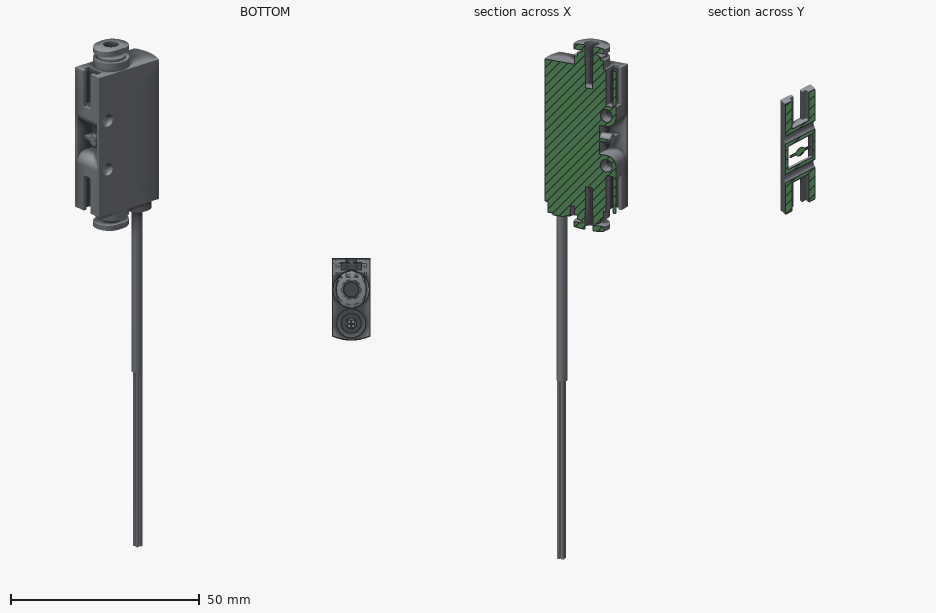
import cadquery as cq

BODY_WIDTH = 10.0
BODY_DEPTH = 21.6
BODY_HEIGHT = 40.0
OVERALL_HEIGHT = 146.04
BACK_CROWN = 1.1
MID_HEIGHT = BODY_HEIGHT / 2

MOUNT_HOLE_DIAMETER = 3.4
MOUNT_HOLE_SPACING = 14.0
MOUNT_HOLE_DEPTH = 3.0

WINDOW_WIDTH = 8.2
WINDOW_DEPTH = 5.0
BOSS_RADIUS = MOUNT_HOLE_DEPTH

KNOB_DIAMETER = 2.9
KNOB_HEIGHT = 3.0
KNOB_BAR_LENGTH = 6.9
KNOB_BAR_THICKNESS = 0.9

SLOT_LENGTH = 10.2
SLOT_NECK_WIDTH = 2.9
SLOT_LIP = 1.0
SLOT_WIDTH = 5.5
SLOT_DEPTH = 3.0
LOWER_SLOT_CORNER_RADIUS = 0.8

FITTING_Y = 8.2
FITTING_DIAMETER = 9.6
FITTING_HEIGHT = 2.4
SHOULDER_DIAMETER = 8.0
SHOULDER_TOP = 3.2
CONE_TOP = 4.0
NECK_DIAMETER = 5.2
RING_BASE = 4.2
RING_TOP = 5.95
RING_WIDTH = 7.7
RING_LENGTH = 10.0
RING_CROWN = 0.4
RING_CROWN_DIAMETER = 4.9
BORE_DIAMETER = 4.2
BORE_STOP_DIAMETER = 4.0
BORE_STEP_DEPTH = 5.0
BORE_DEPTH = 12.0

CABLE_Y = 17.15
GLAND_DIAMETER = 7.7
GLAND_LENGTH = 3.0
GLAND_TIP_DIAMETER = 5.2
GLAND_TIP_LENGTH = 0.5
JACKET_DIAMETER = 2.9
JACKET_END = 50.1
CABLE_END = OVERALL_HEIGHT - BODY_HEIGHT - RING_TOP
WIRE_DIAMETER = 1.0
WIRE_PITCH = 1.1
WIRE_BUNDLE_Y = 17.3


def box(width, y_range, z_range):
    """Box centred on X between two Y values and two Z values."""
    depth = y_range[1] - y_range[0]
    height = z_range[1] - z_range[0]
    return (
        cq.Workplane("XY")
        .box(width, depth, height, centered=(True, False, False))
        .translate((0, y_range[0], z_range[0]))
    )


def cylinder(diameter, x, y, z_top, z_bottom):
    """Vertical cylinder between two heights."""
    return (
        cq.Workplane("XY", origin=(x, y, z_bottom))
        .circle(diameter / 2)
        .extrude(z_top - z_bottom)
    )


def cross_cylinder(diameter, length, z):
    """Cylinder along X on a mounting hole axis."""
    return (
        cq.Workplane("YZ", origin=(-length / 2, MOUNT_HOLE_DEPTH, z))
        .circle(diameter / 2)
        .extrude(length)
    )


def mirror_to_bottom(shape):
    """Mirror a feature of the housing top to the housing bottom."""
    return shape.mirror("XY", (0, 0, MID_HEIGHT))


def make_housing():
    """Prism with a crowned back face."""
    half_width = BODY_WIDTH / 2
    side_depth = BODY_DEPTH - BACK_CROWN
    return (
        cq.Workplane("XY")
        .moveTo(-half_width, 0)
        .lineTo(half_width, 0)
        .lineTo(half_width, side_depth)
        .threePointArc((0, BODY_DEPTH), (-half_width, side_depth))
        .close()
        .extrude(BODY_HEIGHT)
    )


def make_window(hole_heights):
    """Window space, narrowed at the front by the rounded hole bosses."""
    window = box(WINDOW_WIDTH, (0, WINDOW_DEPTH), hole_heights)
    rear_depth = (MOUNT_HOLE_DEPTH, WINDOW_DEPTH)
    for height in hole_heights:
        window = window.cut(cross_cylinder(2 * BOSS_RADIUS, WINDOW_WIDTH, height))
        rear_block = (height - BOSS_RADIUS, height + BOSS_RADIUS)
        window = window.cut(box(WINDOW_WIDTH, rear_depth, rear_block))
    return window


def make_knob():
    """Round knob with a thin cross bar, standing on the window floor."""
    face_y = WINDOW_DEPTH - KNOB_HEIGHT
    stem = (
        cq.Workplane("XZ", origin=(0, WINDOW_DEPTH, MID_HEIGHT))
        .circle(KNOB_DIAMETER / 2)
        .extrude(KNOB_HEIGHT)
    )
    half_bar = KNOB_BAR_THICKNESS / 2
    bar = box(KNOB_BAR_LENGTH, (face_y, WINDOW_DEPTH), (MID_HEIGHT - half_bar, MID_HEIGHT + half_bar))
    return stem.union(bar)


def make_upper_slot():
    """T-slot running down from the housing top."""
    z_range = (BODY_HEIGHT - SLOT_LENGTH, BODY_HEIGHT)
    neck = box(SLOT_NECK_WIDTH, (0, SLOT_LIP), z_range)
    return neck.union(box(SLOT_WIDTH, (SLOT_LIP, SLOT_DEPTH), z_range))


def make_lower_slot():
    """T-slot running up from the housing bottom, with rounded neck corners."""
    z_range = (0, SLOT_LENGTH)
    neck = box(SLOT_NECK_WIDTH, (0, SLOT_LIP), z_range)
    neck = neck.edges("|Y and >Z").fillet(LOWER_SLOT_CORNER_RADIUS)
    return neck.union(box(SLOT_WIDTH, (SLOT_LIP, SLOT_DEPTH), z_range))


def make_upper_fitting():
    """Push-in fitting with its oval release ring on the housing top."""
    stem = (
        cq.Workplane("XZ")
        .polyline([
            (0, 0),
            (FITTING_DIAMETER / 2, 0),
            (FITTING_DIAMETER / 2, FITTING_HEIGHT),
            (SHOULDER_DIAMETER / 2, FITTING_HEIGHT),
            (SHOULDER_DIAMETER / 2, SHOULDER_TOP),
            (NECK_DIAMETER / 2, CONE_TOP),
            (NECK_DIAMETER / 2, RING_BASE),
            (0, RING_BASE),
        ])
        .close()
        .revolve(360, (0, 0), (0, 1))
    )
    ring_height = RING_TOP - RING_BASE
    ring = (
        cq.Workplane("XY", origin=(0, 0, RING_BASE))
        .slot2D(RING_LENGTH, RING_WIDTH, 90)
        .extrude(ring_height)
    )
    disc_radius = RING_LENGTH / 2
    dome_start = RING_CROWN_DIAMETER / 2
    dome_middle = ((dome_start + disc_radius) / 2, RING_TOP - RING_CROWN / 4)
    disc = (
        cq.Workplane("XZ")
        .moveTo(0, RING_BASE)
        .lineTo(disc_radius, RING_BASE)
        .lineTo(disc_radius, RING_TOP - RING_CROWN)
        .threePointArc(dome_middle, (dome_start, RING_TOP))
        .lineTo(0, RING_TOP)
        .close()
        .revolve(360, (0, 0), (0, 1))
    )
    return stem.union(ring.intersect(disc)).translate((0, FITTING_Y, BODY_HEIGHT))


def make_upper_bore():
    """Blind tube bore, stepped down to a slightly smaller tube stop."""
    mouth = cylinder(BORE_DIAMETER, 0, FITTING_Y, RING_TOP, RING_TOP - BORE_STEP_DEPTH)
    stop = cylinder(BORE_STOP_DIAMETER, 0, FITTING_Y, RING_TOP, RING_TOP - BORE_DEPTH)
    return mouth.union(stop).translate((0, 0, BODY_HEIGHT))


def make_cable():
    """Cable gland, jacket and four bare wires below the housing."""
    tip_end = GLAND_LENGTH + GLAND_TIP_LENGTH
    cable = cylinder(GLAND_DIAMETER, 0, CABLE_Y, 0, -GLAND_LENGTH)
    cable = cable.union(cylinder(GLAND_TIP_DIAMETER, 0, CABLE_Y, 0, -tip_end))
    cable = cable.union(cylinder(JACKET_DIAMETER, 0, CABLE_Y, 0, -JACKET_END))
    half_pitch = WIRE_PITCH / 2
    for x in (-half_pitch, half_pitch):
        for y in (WIRE_BUNDLE_Y - half_pitch, WIRE_BUNDLE_Y + half_pitch):
            cable = cable.union(cylinder(WIRE_DIAMETER, x, y, -tip_end, -CABLE_END))
    return cable


hole_heights = (MID_HEIGHT - MOUNT_HOLE_SPACING / 2, MID_HEIGHT + MOUNT_HOLE_SPACING / 2)
upper_fitting = make_upper_fitting()
upper_bore = make_upper_bore()

result = make_housing()
result = result.union(upper_fitting)
result = result.union(mirror_to_bottom(upper_fitting))
result = result.union(make_cable())
result = result.cut(upper_bore)
result = result.cut(mirror_to_bottom(upper_bore))
result = result.cut(make_window(hole_heights))
result = result.union(make_knob())
result = result.cut(make_upper_slot())
result = result.cut(make_lower_slot())
for hole_height in hole_heights:
    result = result.cut(cross_cylinder(MOUNT_HOLE_DIAMETER, BODY_WIDTH, hole_height))